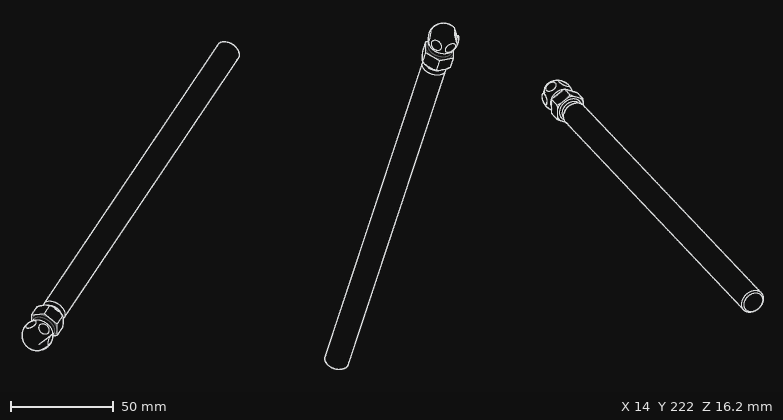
import cadquery as cq
import math

length = 222.0
shaft_radius = 6.0
end_chamfer = 0.9

ball_radius = 7.5
across_flats = 14.0

hex_front = 15.0
hex_back = 22.0
hex_chamfer_radius = 7.3
hex_chamfer_length = 0.7

neck_fillet = 0.9

shoulder_end = 23.0
shoulder_radius = 5.0
groove_bottom = 24.6
groove_radius = 4.7
shaft_start = 26.2

across_corners = across_flats / math.cos(math.pi / 6)


def hex_prism(front, back):
    """Hexagonal bar along Y, with corners pointing up and down Z."""
    return (
        cq.Workplane("XZ", origin=(0, front, 0))
        .transformed(rotate=(0, 0, 90))
        .polygon(6, across_corners)
        .extrude(front - back)
    )


def revolve_about_y(profile):
    return profile.close().revolve(360, (0, 0, 0), (0, 1, 0))


def make_ball():
    ball = cq.Workplane("XY").sphere(ball_radius).translate((0, ball_radius, 0))
    return ball.intersect(hex_prism(0, 2 * ball_radius))


def make_collar():
    corner_radius = across_corners / 2
    chamfer_cone = revolve_about_y(
        cq.Workplane("XY")
        .moveTo(0, hex_front)
        .lineTo(corner_radius, hex_front)
        .lineTo(corner_radius, hex_back - hex_chamfer_length)
        .lineTo(hex_chamfer_radius, hex_back)
        .lineTo(0, hex_back)
    )
    return hex_prism(hex_front, hex_back).intersect(chamfer_cone)


def make_rod():
    fillet_middle = neck_fillet * (1 - math.sqrt(0.5))
    return revolve_about_y(
        cq.Workplane("XY")
        .moveTo(0, ball_radius)
        .lineTo(shaft_radius, ball_radius)
        .lineTo(shaft_radius, hex_front - neck_fillet)
        .threePointArc(
            (shaft_radius + fillet_middle, hex_front - fillet_middle),
            (shaft_radius + neck_fillet, hex_front),
        )
        .lineTo(shaft_radius, hex_front)
        .lineTo(shaft_radius, hex_back)
        .lineTo(shoulder_radius, shoulder_end)
        .lineTo(groove_radius, groove_bottom)
        .lineTo(shaft_radius, shaft_start)
        .lineTo(shaft_radius, length - end_chamfer)
        .lineTo(shaft_radius - end_chamfer, length)
        .lineTo(0, length)
    )


result = make_rod().union(make_collar()).union(make_ball())